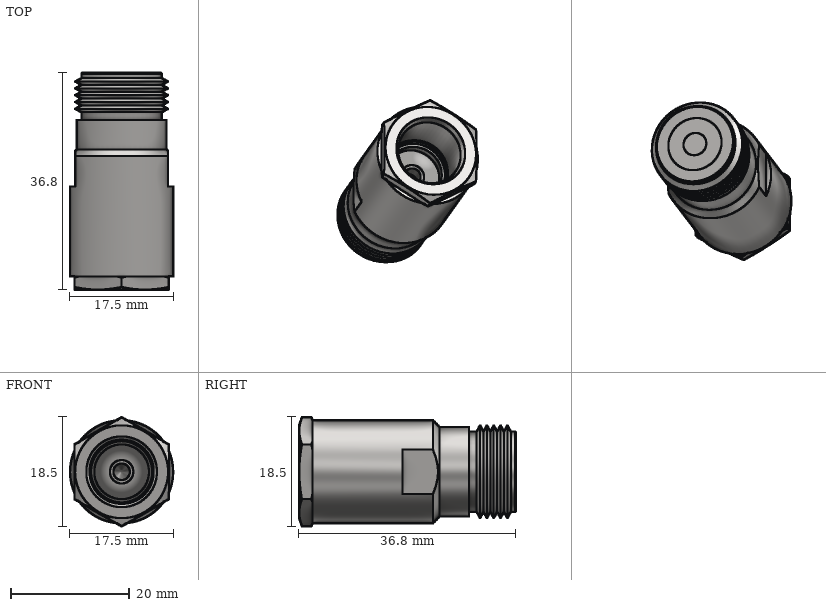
import cadquery as cq
import math

total_length = 36.75

hex_width = 16.02
hex_length = 2.28
outer_chamfer_radius = 7.85
outer_chamfer_length = 0.48
inner_chamfer_radius = 8.82
inner_chamfer_length = 0.22
nut_length = 10.3
shank_radius = 7.0
cable_bore_radius = 5.45
cable_bore_mouth_radius = 6.0
cable_bore_mouth_length = 1.0

washer_thickness = 1.1
washer_bore_radius = 5.2
gasket_thickness = 1.85
gasket_bore_radius = 4.63

body_radius = 8.75
collar_radius = 7.6
collar_length = 5.0
collar_end = 28.78
neck_radius = 6.85
tip_chamfer = 0.22

thread_crest_radius = 7.85
thread_ridges = 5
thread_length = 5.77
thread_end_gap = 0.92

wrench_width = 15.75
wrench_flat_start = 17.53

pin_radius = 2.0
wire_hole_radius = 1.4
wire_hole_depth = 2.95
drill_point_angle = 118.0

washer_start = nut_length
gasket_start = washer_start + washer_thickness
shoulder_position = gasket_start + gasket_thickness
collar_start = collar_end - collar_length
taper_start = collar_start - (body_radius - collar_radius)
thread_pitch = thread_length / thread_ridges
thread_start = total_length - thread_end_gap - thread_length
hex_corner_radius = hex_width / math.sqrt(3)


def turned(profile):
    """Revolve a closed outline of (position along Y, radius) points about the Y axis."""
    return cq.Workplane("YZ").polyline(profile).close().revolve(360, (0, 0), (1, 0))


def cylinder(start, end, radius):
    """Solid cylinder on the Y axis."""
    return turned([(start, 0), (start, radius), (end, radius), (end, 0)])


def ring(start, end, inner_radius, outer_radius):
    """Plain ring around the Y axis."""
    return turned([
        (start, inner_radius),
        (start, outer_radius),
        (end, outer_radius),
        (end, inner_radius),
    ])


def make_hex_head():
    """Hexagon with corners on +Z and -Z, chamfered at both ends."""
    corners = []
    for i in range(6):
        angle = math.radians(90 + 60 * i)
        corners.append((hex_corner_radius * math.cos(angle), hex_corner_radius * math.sin(angle)))
    prism = cq.Workplane("XZ").polyline(corners).close().extrude(-hex_length)
    chamfer_envelope = turned([
        (0, 0),
        (0, outer_chamfer_radius),
        (outer_chamfer_length, hex_corner_radius),
        (hex_length - inner_chamfer_length, hex_corner_radius),
        (hex_length, inner_chamfer_radius),
        (hex_length, 0),
    ])
    return prism.intersect(chamfer_envelope)


def make_clamp_nut():
    """Hex head and shank with a through bore for the cable."""
    cable_bore = turned([
        (0, 0),
        (0, cable_bore_mouth_radius),
        (cable_bore_mouth_length, cable_bore_radius),
        (nut_length, cable_bore_radius),
        (nut_length, 0),
    ])
    shank = cylinder(hex_length, nut_length, shank_radius)
    return make_hex_head().union(shank).cut(cable_bore).solids()


def make_housing():
    """Stepped, threaded sleeve that holds the shank, the rings and the insulator."""
    thread_outline = [(thread_start, neck_radius)]
    for i in range(thread_ridges):
        ridge_start = thread_start + i * thread_pitch
        thread_outline.append((ridge_start + thread_pitch / 2, thread_crest_radius))
        thread_outline.append((ridge_start + thread_pitch, neck_radius))

    sleeve = turned([
        (hex_length, shank_radius),
        (hex_length, body_radius),
        (taper_start, body_radius),
        (collar_start, collar_radius),
        (collar_end, collar_radius),
        (collar_end, neck_radius),
        *thread_outline,
        (total_length - tip_chamfer, neck_radius),
        (total_length, neck_radius - tip_chamfer),
        (total_length, gasket_bore_radius),
        (shoulder_position, gasket_bore_radius),
        (shoulder_position, shank_radius),
    ])
    return cut_wrench_flats(sleeve).solids()


def cut_wrench_flats(sleeve):
    """Cut two opposite flats, on +X and -X, from the taper end of the body."""
    flat_length = collar_start - wrench_flat_start
    for side in (-1, 1):
        cutter = cq.Workplane("XY").box(body_radius, flat_length, 2 * body_radius).translate((
            side * (wrench_width + body_radius) / 2,
            wrench_flat_start + flat_length / 2,
            0,
        ))
        sleeve = sleeve.cut(cutter)
    return sleeve


def make_contact_pin():
    """Centre conductor with a drilled hole for the cable's wire."""
    point_length = wire_hole_radius / math.tan(math.radians(drill_point_angle / 2))
    wire_hole_end = shoulder_position + wire_hole_depth
    return turned([
        (shoulder_position, wire_hole_radius),
        (shoulder_position, pin_radius),
        (total_length, pin_radius),
        (total_length, 0),
        (wire_hole_end + point_length, 0),
        (wire_hole_end, wire_hole_radius),
    ])


clamp_nut = make_clamp_nut()
washer = ring(washer_start, gasket_start, washer_bore_radius, shank_radius)
gasket = ring(gasket_start, shoulder_position, gasket_bore_radius, shank_radius)
housing = make_housing()
insulator = ring(shoulder_position, total_length, pin_radius, gasket_bore_radius)
contact_pin = make_contact_pin()

result = cq.Compound.makeCompound([
    clamp_nut.val(),
    washer.val(),
    gasket.val(),
    housing.val(),
    insulator.val(),
    contact_pin.val(),
])